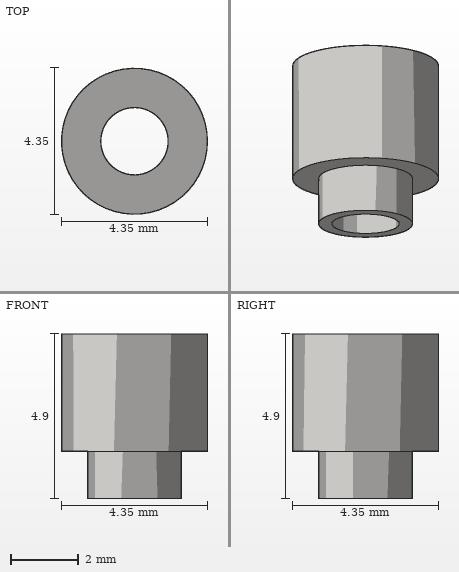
import cadquery as cq

total_height = 4.9
spigot_height = 1.4
body_diameter = 4.35
spigot_diameter = 2.8
bore_diameter = 2.0

body_height = total_height - spigot_height

spigot = cq.Workplane("XY").circle(spigot_diameter / 2).extrude(spigot_height)

bushing = spigot.faces(">Z").workplane().circle(body_diameter / 2).extrude(body_height)

result = bushing.faces(">Z").workplane().hole(bore_diameter)